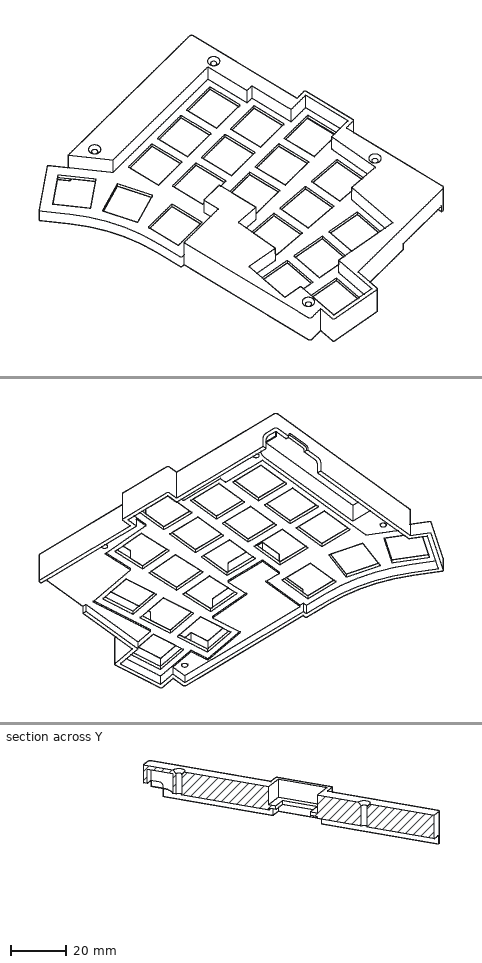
import cadquery as cq
import math

case_height = 12.5
plate_top = 5.5
plate_thickness = 1.5
cover_underside = 3.3

wall = 1.6
case_left = -60.3
case_right = 55.95
case_front = -33.55
case_back = 45.0
case_corner_radius = 1.0
small_corner_radius = 0.5

pitch_x = 18.0
pitch_y = 17.0
switch_opening = 13.8
keycap_gap = 0.7
half_width = pitch_x / 2 + keycap_gap
half_depth = pitch_y / 2 + keycap_gap
outer_half_width = half_width + wall
outer_half_depth = half_depth + wall
rows = 3

middle_x = -0.42
middle_top = (middle_x, 38.8, 0)
index_top = (middle_x - pitch_x, 30.3, 0)
inner_top = (middle_x - 2 * pitch_x, 27.5, 0)
ring_top = (20.22, 28.48, -4)
little_top = (40.39, 13.0, -10)
outer_key_drop = 9.35

thumb_turn = 15
thumb_spacing = 20.0
thumb_arc_radius = thumb_spacing / 2 / math.sin(math.radians(thumb_turn / 2))
thumb_first = (-13.33, -24.3)
thumb_count = 3
thumb_right = thumb_first[0] + outer_half_width
thumb_shelf_y = -13.4

screw_centers = [(-46.1, 40.1), (27.9, 40.1), (-54.4, -19.0), (50.5, -27.7)]
screw_diameter = 2.2
screw_head_diameter = 4.4
screw_head_angle = 82

bay_right = inner_top[0] - half_width - wall
bay_back_wall = 2.0
bay_back = case_back - bay_back_wall
bay_front = -10.0
bay_corner_radius = 5.9
bay_ceiling = case_height - wall

opening_depth = 24.0
opening_width_at_back = 6.3
opening_radius = 1.5
plug_width = 9.6
plug_top = 7.0
plug_corner_radius = 0.9
plug_chamfer = 0.4
chamfer_angle = 45


def at_key(key, across, along):
    """Point given by distances in a key's own turned directions."""
    x, y, turn = key
    angle = math.radians(turn)
    return (
        x + across * math.cos(angle) - along * math.sin(angle),
        y + across * math.sin(angle) + along * math.cos(angle),
    )


def down_column(top_key, row):
    """Key a number of rows below the top key of a column."""
    return (*at_key(top_key, 0, -row * pitch_y), top_key[2])


def crossing(first, first_turn, second, second_turn):
    """Crossing of two lines, each given by a point and a direction in degrees."""
    ax, ay = math.cos(math.radians(first_turn)), math.sin(math.radians(first_turn))
    bx, by = math.cos(math.radians(second_turn)), math.sin(math.radians(second_turn))
    dx, dy = second[0] - first[0], second[1] - first[1]
    reach = (dx * by - dy * bx) / (ax * by - ay * bx)
    return (first[0] + reach * ax, first[1] + reach * ay)


def thumb_point(turn, along):
    """Point on the thumb fan, a distance along the key that is turned by this angle."""
    arc_center = (thumb_first[0], thumb_first[1] - thumb_arc_radius)
    return at_key((*arc_center, turn), 0, thumb_arc_radius + along)


def prism(points, bottom, top):
    return cq.Workplane("XY").workplane(offset=bottom).polyline(points).close().extrude(top - bottom)


def block(x_range, y_range, z_range):
    sizes = [high - low for low, high in (x_range, y_range, z_range)]
    corner = (x_range[0], y_range[0], z_range[0])
    return cq.Workplane("XY").box(*sizes, centered=False).translate(corner)


ring_bottom = down_column(ring_top, rows - 1)
little_bottom = down_column(little_top, rows - 1)
outer_key = (*at_key(down_column(little_top, 1), pitch_x, -outer_key_drop), little_top[2])
thumb_keys = [(*thumb_point(i * thumb_turn, 0), i * thumb_turn) for i in range(thumb_count)]
thumb_last = thumb_keys[-1]
column_keys = [
    down_column(top_key, row)
    for top_key in (inner_top, index_top, middle_top, ring_top, little_top)
    for row in range(rows)
]
all_keys = column_keys + [outer_key] + thumb_keys


def round_corners(solid, corners):
    """Slightly round the upright edges that stand at these corners."""
    for corner in corners:
        edge = cq.selectors.NearestToPointSelector((*corner, solid.val().Center().z))
        solid = solid.edges("|Z").edges(edge).fillet(small_corner_radius)
    return solid


def make_thumb_block():
    last_turn = thumb_last[2]
    front_corner = at_key(thumb_last, -outer_half_width, -outer_half_depth)
    back_corner = at_key(thumb_last, -outer_half_width, outer_half_depth)
    back_inner = crossing(back_corner, last_turn, (inner_top[0] - half_width, 0), 90)
    outline = (
        cq.Workplane("XY")
        .moveTo(thumb_right, thumb_shelf_y)
        .lineTo(thumb_right, thumb_first[1] - outer_half_depth)
        .lineTo(*thumb_point(0, -outer_half_depth))
        .threePointArc(
            thumb_point(last_turn / 2, -outer_half_depth),
            thumb_point(last_turn, -outer_half_depth),
        )
        .lineTo(*front_corner)
        .lineTo(*back_corner)
        .lineTo(*back_inner)
        .lineTo(back_inner[0], thumb_shelf_y)
        .close()
    )
    front_right = (thumb_right, thumb_first[1] - outer_half_depth)
    return round_corners(outline.extrude(plate_top), [front_right, front_corner, back_corner])


def make_body():
    case = block((case_left, case_right), (case_front, case_back), (0, case_height))
    case = case.edges("|Z").fillet(case_corner_radius)
    middle_bump = block(
        (middle_x - outer_half_width, middle_x + outer_half_width),
        (middle_top[1] - half_depth, middle_top[1] + outer_half_depth),
        (0, case_height),
    )
    middle_bump = middle_bump.edges("|Z and >Y").fillet(small_corner_radius)
    outer_right = [
        at_key(outer_key, outer_half_width, outer_half_depth),
        at_key(outer_key, outer_half_width, -outer_half_depth),
    ]
    outer_left = [
        at_key(outer_key, -half_width, -outer_half_depth),
        at_key(outer_key, -half_width, outer_half_depth),
    ]
    outer_bump = round_corners(prism(outer_right + outer_left, 0, case_height), outer_right)
    return case.union(middle_bump).union(outer_bump)


def make_key_well(bottom, top):
    """Prism over the whole key field and the thumb fan."""
    inner_left = inner_top[0] - half_width
    index_left = index_top[0] - half_width
    index_right = index_top[0] + half_width
    middle_left = middle_x - half_width
    middle_right = middle_x + half_width
    middle_bottom_y = middle_top[1] - (rows - 1) * pitch_y - half_depth

    ring_turn = ring_top[2]
    little_turn = little_top[2]
    ring_back_right = at_key(ring_top, half_width, half_depth)
    ring_front_left = at_key(ring_bottom, -half_width, -half_depth)
    little_back_right = at_key(little_top, half_width, half_depth)
    little_front_left = at_key(little_bottom, -half_width, -half_depth)
    little_front_right = at_key(little_bottom, half_width, -half_depth)
    outer_back_right = at_key(outer_key, half_width, half_depth)
    outer_front_right = at_key(outer_key, half_width, -half_depth)
    thumb_back = at_key(thumb_last, 0, outer_half_depth)
    beyond = 2 * outer_half_depth

    points = [
        crossing(thumb_back, thumb_last[2], (inner_left, 0), 90),
        (inner_left, inner_top[1] + half_depth),
        (index_left, inner_top[1] + half_depth),
        (index_left, index_top[1] + half_depth),
        (middle_left, index_top[1] + half_depth),
        (middle_left, middle_top[1] + half_depth),
        (middle_right, middle_top[1] + half_depth),
        crossing(ring_back_right, ring_turn, (middle_right, 0), 90),
        ring_back_right,
        crossing(ring_back_right, ring_turn + 90, little_back_right, little_turn),
        little_back_right,
        crossing(little_back_right, little_turn + 90, outer_back_right, little_turn),
        outer_back_right,
        outer_front_right,
        crossing(outer_front_right, little_turn, little_front_right, little_turn + 90),
        little_front_right,
        little_front_left,
        crossing(little_front_left, little_turn + 90, ring_front_left, ring_turn),
        ring_front_left,
        crossing(ring_front_left, ring_turn + 90, (0, middle_bottom_y), 0),
        (index_right, middle_bottom_y),
        (index_right, thumb_shelf_y),
        (thumb_right, thumb_shelf_y),
        (thumb_right, case_front - beyond),
        at_key(thumb_last, -beyond, -beyond),
        at_key(thumb_last, -beyond, outer_half_depth),
    ]
    return prism(points, bottom, top)


def make_cavity(outline_solid):
    """Hollow underside: higher below the key plate than below the solid cover."""
    plate_underside = plate_top - plate_thickness
    outer_wire = outline_solid.clean().faces("<Z").val().outerWire()
    inner_wire = outer_wire.offset2D(-wall, "intersection")[0]
    low_part, high_part = (
        cq.Workplane(cq.Solid.extrudeLinear(inner_wire, [], cq.Vector(0, 0, height)))
        for height in (cover_underside, plate_underside)
    )
    return low_part.union(high_part.intersect(make_key_well(0, plate_underside)))


def cut_switch_openings(body):
    for x, y, turn in all_keys:
        opening = cq.Workplane("XY").rect(switch_opening, switch_opening).extrude(case_height)
        body = body.cut(opening.rotate((0, 0, 0), (0, 0, 1), turn).translate((x, y, 0)))
    return body


def cut_screw_holes(body):
    return (
        body.faces(">Z")
        .workplane(origin=(0, 0, case_height))
        .pushPoints(screw_centers)
        .cskHole(screw_diameter, screw_head_diameter, screw_head_angle)
    )


def make_controller_bay():
    bay = block((case_left + wall, bay_right), (bay_front, bay_back), (0, bay_ceiling))
    return bay.edges("|Z and >X and >Y").fillet(bay_corner_radius)


def make_cable_opening():
    """Arch under the left and back walls, with a raised part for the plug."""
    x_end = case_left + opening_width_at_back
    y_end = case_back - opening_depth
    heights = (-plate_top, plate_top)
    opening = block((case_left - wall, x_end), (y_end, case_back + wall), heights)
    opening = opening.cut(block((case_left + wall, x_end), (y_end, case_back - wall), heights))
    opening = opening.edges("(|X and <Y and >Z) or (|Y and >X and >Z)").fillet(opening_radius)

    plug_y = case_back - opening_depth / 2
    plug = (
        cq.Workplane("YZ", origin=(case_left, 0, 0))
        .center(plug_y, 0)
        .rect(plug_width, 2 * plug_top)
        .extrude(wall)
        .edges("|X")
        .fillet(plug_corner_radius)
    )
    widened = plug.faces("<X").wires().toPending().offset2D(plug_chamfer)
    flare = widened.extrude(plug_chamfer, taper=chamfer_angle, combine=False)
    return opening.union(plug).union(flare)


def make_right_opening():
    """Low opening in the right wall, in line with the cable opening."""
    return block(
        (case_right - wall, case_right),
        (case_back - opening_depth, case_back - wall),
        (0, cover_underside),
    )


case_body = make_body()
thumb_block = make_thumb_block()
key_well = make_key_well(plate_top, case_height)
cavity = make_cavity(case_body.union(thumb_block))

result = case_body.cut(key_well).union(thumb_block).cut(cavity)
result = cut_switch_openings(result)
result = cut_screw_holes(result)
result = result.cut(make_controller_bay())
result = result.cut(make_cable_opening())
result = result.cut(make_right_opening())